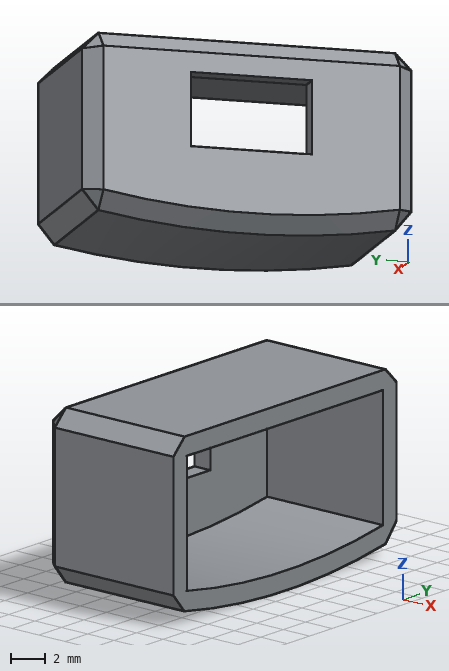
import cadquery as cq
import math

depth = 10.0
width = 19.8
height = 11.33
bottom_radius = 50.0
chamfer_size = 0.99
wall = 1.2

window_width = 7.29
window_height = 4.4
window_bottom = 4.73


def curved_block(inset, x_start):
    """Block with a bowed bottom, inset from the outer faces, reaching the open end."""
    half_width = width / 2 - inset
    radius = bottom_radius - inset
    corner_z = bottom_radius - math.sqrt(radius**2 - half_width**2)
    top_z = height - inset
    return (
        cq.Workplane("YZ", origin=(x_start, 0, 0))
        .moveTo(-half_width, top_z)
        .lineTo(-half_width, corner_z)
        .threePointArc((0, inset), (half_width, corner_z))
        .lineTo(half_width, top_z)
        .close()
        .extrude(depth - x_start)
    )


body = curved_block(0, 0).edges("not >X").chamfer(chamfer_size)

cavity = curved_block(wall, wall)

window = cq.Workplane("XY").box(wall, window_width, window_height, centered=(False, True, False))
window = window.translate((0, 0, window_bottom))

result = body.cut(cavity).cut(window)